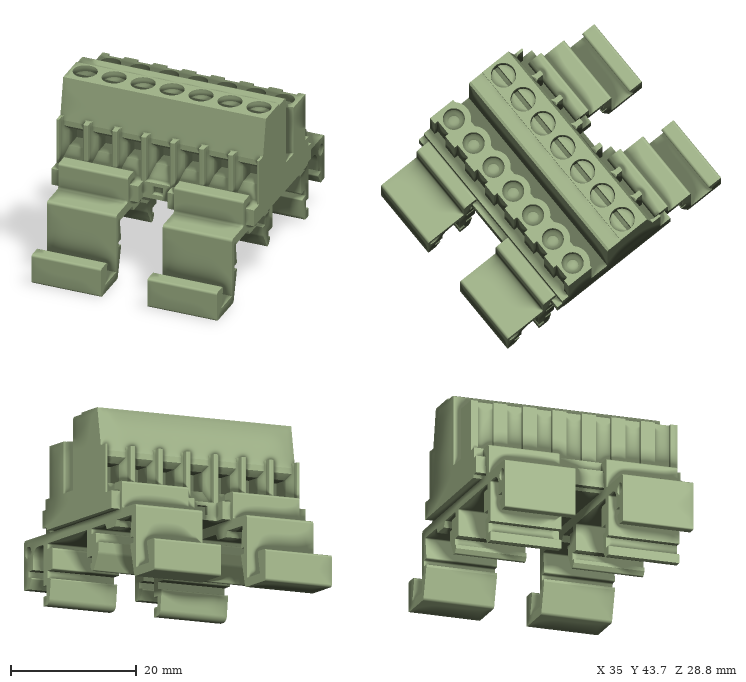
import cadquery as cq
import math


pole_count = 7
pole_pitch = 5.0
block_width = pole_count * pole_pitch

foot_width = 12.0
foot_offset = 10.0
foot_depth = 43.7
deck_top = 11.7
deck_bottom = 10.1
edge_round = 0.4
small_round = 0.2
bend_round = 0.5
leg_round = 1.0
rear_hook_round = 1.8
rear_clip_back = 36.4
rear_clip_tip = 33.8
rear_clip_top = 16.6
front_clip_front = 10.85
front_clip_top = 16.2
hook_wall_front = 6.2
hook_floor = 1.45
hook_lip_top = 5.15
bump_bottom = 9.15
middle_leg_front = 21.2
middle_leg_back = 22.6
rear_leg_front = 35.85
rear_leg_back = 37.25
rear_leg_bottom = 0.15
rear_hook_bottom = 3.7
leg_neck_bottom = 9.2
leg_catch_top = 5.65
leg_catch_bottom = 4.5
front_clip_tip = 13.5
pin_hole_diameter = 2.0
pin_hole_y = 42.3
pin_hole_z = 9.6

flange_front = 11.6
flange_top = 14.6
front_face = 13.6
base_back = 34.7
base_upper_back = 33.7
base_step_top = 15.0
base_step_bottom = 12.2
base_pad_back = 33.6
base_pad_draft = 0.3
base_top = 16.7
tall_top = 28.8
tall_back = 24.5
tall_edge_run = 0.4
tall_edge_drop = 0.2
tall_step_y = 21.75
tall_step_drop = 0.3
slope_top_y = 16.4
slope_bottom_y = 15.1
slope_bottom_z = 21.75
sill_height = 0.6

rib_top = 22.5
rib_tip_width = 0.85
rib_tip_round = 0.2
rib_shoulder_y = 14.75
rib_embed_y = 15.9

funnel_mouth_width = pole_pitch - rib_tip_width
funnel_mouth_top = 21.1
funnel_mouth_y = rib_shoulder_y
funnel_end_width = 2.7
funnel_end_bottom = 16.7
funnel_end_top = 19.9
funnel_end_y = 16.2
wire_hole_depth = 3.0

screw_y = 19.45
screw_bore_diameter = 4.0
screw_head_diameter = 3.8
screw_recess = 1.0
screw_bore_depth = 2.5
screw_slot_width = 0.8
screw_slot_depth = 1.1

socket_y = 29.57
socket_wall_radius = 2.75
socket_mouth_diameter = 3.5
socket_end_diameter = 1.8
socket_bore_depth = 1.3
socket_cone_depth = 0.6
tower_front = 27.7
tower_back = 32.4
tower_top = 25.1
tower_notch_width = 2.65
tower_notch_depth = 0.65

window_width = 1.85
window_bottom = 12.5
window_top = 14.0
window_depth = 1.0

pole_xs = [(i - (pole_count - 1) / 2) * pole_pitch for i in range(pole_count)]
rib_xs = [(i - pole_count / 2) * pole_pitch for i in range(pole_count + 1)]


def box(x_range, y_range, z_range):
    """Box between the given limits."""
    size = [high - low for low, high in (x_range, y_range, z_range)]
    return cq.Workplane("XY").box(*size, centered=False).translate((x_range[0], y_range[0], z_range[0]))


def toward(start, target, distance):
    """Point at a distance from start on the way to target."""
    length = math.dist(start, target)
    return tuple(s + (t - s) * distance / length for s, t in zip(start, target))


def corner_arc(before, corner, after, radius):
    """Start, middle and end of the arc that rounds a corner."""
    angle = math.acos(
        sum((b - c) * (a - c) for b, c, a in zip(before, corner, after))
        / (math.dist(before, corner) * math.dist(after, corner))
    )
    setback = radius / math.tan(angle / 2)
    start = toward(corner, before, setback)
    end = toward(corner, after, setback)
    chord_middle = tuple((s + e) / 2 for s, e in zip(start, end))
    middle = toward(corner, chord_middle, radius / math.sin(angle / 2) - radius)
    return start, middle, end


def extrude_profile(corners, width):
    """Extrude a closed (y, z[, radius]) outline along X, centred on X = 0."""
    points = [corner[:2] for corner in corners]
    profile = cq.Workplane("YZ", origin=(-width / 2, 0, 0))
    started = False
    for i, corner in enumerate(corners):
        if len(corner) == 3:
            after = points[(i + 1) % len(points)]
            path = corner_arc(points[i - 1], points[i], after, corner[2])
        else:
            path = (points[i],)
        profile = profile.lineTo(*path[0]) if started else profile.moveTo(*path[0])
        started = True
        if len(path) == 3:
            profile = profile.threePointArc(path[1], path[2])
    return profile.close().extrude(width)


def make_foot():
    """One DIN-rail foot: deck, block clips, two inner legs and end hooks."""
    top_side = [
        (foot_depth, deck_top, edge_round),
        (rear_clip_back, deck_top, small_round),
        (rear_clip_back, rear_clip_top, bend_round),
        (rear_clip_tip, rear_clip_top, bend_round),
        (rear_clip_tip, base_step_top),
        (34.8, base_step_top, small_round),
        (35.2, deck_top, 0.3),
        (flange_front, deck_top),
        (flange_front, flange_top),
        (front_clip_tip, flange_top),
        (front_clip_tip, front_clip_top, edge_round),
        (front_clip_front, front_clip_top, edge_round),
        (front_clip_front, deck_top, edge_round),
    ]
    front_hook = [
        (hook_wall_front, deck_top, bend_round),
        (hook_wall_front, hook_floor),
        (1.8, hook_floor),
        (2.65, hook_lip_top, edge_round),
        (0, hook_lip_top, edge_round),
        (0, 0, edge_round),
        (6.75, 0, bend_round),
        (8.1, 5.1, small_round),
        (8.1, 5.5),
        (7.1, 5.5, small_round),
        (7.1, 6.5, small_round),
        (8.15, 6.5, small_round),
        (7.65, deck_bottom, small_round),
    ]
    bump = [
        (12.7, deck_bottom),
        (13.2, bump_bottom),
        (16.0, bump_bottom),
        (16.6, deck_bottom),
    ]
    middle_leg = [
        (middle_leg_front, deck_bottom, small_round),
        (middle_leg_front, leg_neck_bottom),
        (19.7, leg_neck_bottom, small_round),
        (19.7, 7.55),
        (18.7, 7.55),
        (18.9, 5.8, leg_round),
        (20.4, 3.2, small_round),
        (21.0, 3.2, small_round),
        (21.5, 3.9),
        (21.5, leg_catch_bottom),
        (21.0, leg_catch_bottom),
        (21.0, leg_catch_top),
        (middle_leg_back, leg_catch_top),
        (middle_leg_back, deck_bottom, small_round),
    ]
    rear_leg = [
        (rear_leg_front, deck_bottom, small_round),
        (rear_leg_front, leg_neck_bottom),
        (34.15, leg_neck_bottom, edge_round),
        (34.15, leg_catch_top, small_round),
        (35.95, leg_catch_top),
        (35.95, leg_catch_bottom),
        (34.75, 4.3, small_round),
        (35.3, rear_leg_bottom, leg_round),
        (rear_leg_back, rear_leg_bottom),
        (rear_leg_back, 1.7, small_round),
        (36.2, 1.7),
        (36.2, 3.4),
        (rear_leg_back, 3.4),
        (rear_leg_back, deck_bottom, small_round),
    ]
    rear_hook = [
        (40.8, deck_bottom, rear_hook_round),
        (40.8, 6.6),
        (42.3, 6.6),
        (42.3, leg_catch_top),
        (41.1, 5.4, small_round),
        (42.2, rear_hook_bottom),
        (foot_depth, rear_hook_bottom, small_round),
    ]
    corners = top_side + front_hook + bump + middle_leg + rear_leg + rear_hook
    foot = extrude_profile(corners, foot_width)
    pin_hole = (
        cq.Workplane("YZ", origin=(-foot_width / 2, pin_hole_y, pin_hole_z))
        .circle(pin_hole_diameter / 2)
        .extrude(foot_width)
    )
    return foot.cut(pin_hole)


def make_body():
    """Block body with the base flanges and the tall screw housing."""
    rear_top = tall_top - tall_step_drop
    return extrude_profile(
        [
            (flange_front, deck_top),
            (flange_front, flange_top),
            (funnel_mouth_y, flange_top),
            (funnel_mouth_y, flange_top + sill_height),
            (slope_bottom_y, flange_top + sill_height),
            (slope_bottom_y, slope_bottom_z),
            (slope_top_y, tall_top),
            (tall_step_y, tall_top),
            (tall_step_y, rear_top),
            (tall_back - tall_edge_run, rear_top),
            (tall_back, rear_top - tall_edge_drop),
            (tall_back, base_top),
            (base_upper_back, base_top),
            (base_upper_back, base_step_top),
            (base_back, base_step_top),
            (base_back, base_step_bottom),
            (base_pad_back, base_step_bottom),
            (base_pad_back - base_pad_draft, deck_top),
        ],
        block_width,
    )


def make_ribs():
    """Upright ribs between the wire openings, half ribs at both ends."""
    tip = rib_tip_width / 2
    funnel_wall_slope = (funnel_mouth_width - funnel_end_width) / 2 / (funnel_end_y - funnel_mouth_y)
    root = tip + funnel_wall_slope * (rib_embed_y - rib_shoulder_y)
    half_outline = [(root, rib_embed_y), (tip, rib_shoulder_y), (tip, front_face)]
    outline = half_outline + [(-x, y) for x, y in reversed(half_outline)]
    rib = cq.Workplane("XY", origin=(0, 0, flange_top)).polyline(outline).close()
    rib = rib.extrude(rib_top - flange_top).edges("|Z and <Y").fillet(rib_tip_round)
    ribs = cq.Workplane("XY")
    for x in rib_xs:
        ribs = ribs.add(rib.translate((x, 0, 0)))
    ribs = ribs.combine()
    half_width = block_width / 2
    return ribs.intersect(box((-half_width, half_width), (0, foot_depth), (0, tall_top)))


def make_wire_funnel(x):
    """Tapered wire opening of one pole, with the straight hole behind it."""

    def section(width, y, bottom, top):
        return cq.Wire.makePolygon(
            [
                cq.Vector(x - width / 2, y, bottom),
                cq.Vector(x + width / 2, y, bottom),
                cq.Vector(x + width / 2, y, top),
                cq.Vector(x - width / 2, y, top),
            ],
            close=True,
        )

    mouth = section(funnel_mouth_width, funnel_mouth_y, flange_top, funnel_mouth_top)
    end = section(funnel_end_width, funnel_end_y, funnel_end_bottom, funnel_end_top)
    funnel = cq.Workplane(cq.Solid.makeLoft([mouth, end], True))
    hole = box(
        (x - funnel_end_width / 2, x + funnel_end_width / 2),
        (funnel_end_y, funnel_end_y + wire_hole_depth),
        (funnel_end_bottom, funnel_end_top),
    )
    return funnel.union(hole)


def make_socket_tower():
    """Rear row of test sockets: flat wall, rounded columns, notches and cones."""
    half_width = block_width / 2
    tower = box((-half_width, half_width), (tower_front, tower_back), (base_top, tower_top))
    for x in pole_xs:
        column = cq.Workplane("XY", origin=(x, socket_y, base_top))
        column = column.circle(socket_wall_radius).extrude(tower_top - base_top)
        tower = tower.union(column)
    tower = tower.intersect(box((-half_width, half_width), (0, tower_back), (base_top, tower_top)))
    for x in pole_xs:
        half_notch = tower_notch_width / 2
        notch_y = (tower_back - tower_notch_depth, tower_back)
        tower = tower.cut(box((x - half_notch, x + half_notch), notch_y, (base_top, tower_top)))
        cone = cq.Solid.makeCone(
            socket_mouth_diameter / 2,
            socket_end_diameter / 2,
            socket_cone_depth,
            pnt=cq.Vector(x, socket_y, tower_top - socket_bore_depth),
            dir=cq.Vector(0, 0, -1),
        )
        bore = cq.Workplane("XY", origin=(x, socket_y, tower_top))
        bore = bore.circle(socket_mouth_diameter / 2).extrude(-socket_bore_depth)
        tower = tower.cut(bore).cut(cq.Workplane(cone))
    return tower


def make_screw_gaps():
    """Material removed around and above the slotted clamping screws."""
    centres = [(x, screw_y) for x in pole_xs]
    head_top = tall_top - screw_recess
    bores = cq.Workplane("XY", origin=(0, 0, tall_top)).pushPoints(centres)
    bores = bores.circle(screw_bore_diameter / 2).extrude(-screw_bore_depth)
    heads = cq.Workplane("XY", origin=(0, 0, head_top)).pushPoints(centres)
    heads = heads.circle(screw_head_diameter / 2).extrude(screw_recess - screw_bore_depth)
    slots = cq.Workplane("XY", origin=(0, 0, head_top)).pushPoints(centres)
    slots = slots.rect(screw_head_diameter, screw_slot_width).extrude(-screw_slot_depth)
    return bores.cut(heads.cut(slots))


def make_flange_notch():
    """Setback of the front flange at the middle pole, with its small window."""
    half_notch = pole_pitch / 2
    half_window = window_width / 2
    notch = box((-half_notch, half_notch), (flange_front, front_face), (deck_top, flange_top))
    window = box(
        (-half_window, half_window),
        (front_face, front_face + window_depth),
        (window_bottom, window_top),
    )
    return notch.union(window)


block = make_body().union(make_ribs()).union(make_socket_tower())
for pole_x in pole_xs:
    block = block.cut(make_wire_funnel(pole_x))
block = block.cut(make_screw_gaps()).cut(make_flange_notch())

foot = make_foot()
result = block
for side in (-1, 1):
    result = result.union(foot.translate((side * foot_offset, 0, 0)))